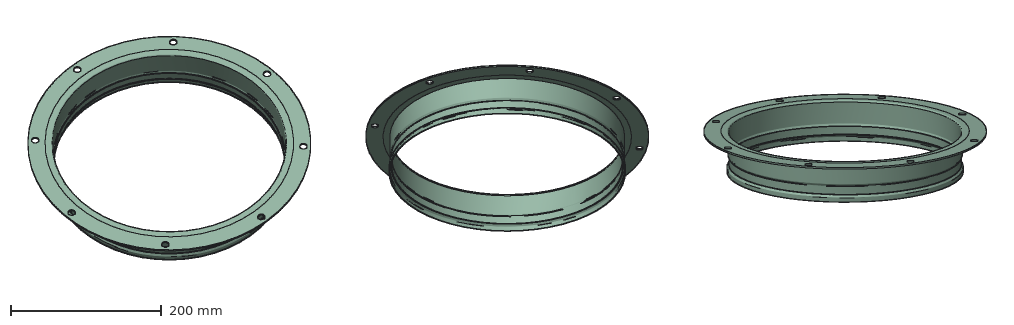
import cadquery as cq
import math

flange_radius = 187.5
flange_thickness = 2.2
total_height = 56.0
hole_count = 8
hole_circle_radius = 177.8
hole_diameter = 9.8

sheet_thickness = 1.3
lip_radius = 164.5
wall_radius = 155.5
waist_radius = 154.0
foot_radius = 156.8

wall_bottom = 24.0
waist_top = 21.0
waist_bottom = 9.8
foot_top = 6.5

lip_bend_radius = 2.2
step_bend_radius = 1.0

flange_bottom = total_height - flange_thickness


def make_flange():
    """Flat ring that surrounds the sleeve lip, with a circle of bolt holes."""
    ring = (
        cq.Workplane("XY")
        .workplane(offset=flange_bottom)
        .circle(flange_radius)
        .circle(lip_radius)
        .extrude(flange_thickness)
    )
    holes = (
        cq.Workplane("XY")
        .workplane(offset=flange_bottom)
        .polarArray(hole_circle_radius, 0, 360, hole_count)
        .circle(hole_diameter / 2)
        .extrude(flange_thickness)
    )
    return ring.cut(holes)


def make_sleeve():
    """Revolved sheet with a lip on top, a narrower waist and a wider foot."""
    wall_inside = wall_radius - sheet_thickness
    waist_inside = waist_radius - sheet_thickness
    foot_inside = foot_radius - sheet_thickness

    upper_angle = math.atan2(wall_radius - waist_radius, wall_bottom - waist_top)
    lower_angle = math.atan2(foot_radius - waist_radius, waist_bottom - foot_top)
    upper_shift = sheet_thickness * math.tan(upper_angle / 2)
    lower_shift = sheet_thickness * math.tan(lower_angle / 2)

    outside = [
        (foot_radius, 0),
        (foot_radius, foot_top),
        (waist_radius, waist_bottom),
        (waist_radius, waist_top),
        (wall_radius, wall_bottom),
        (wall_radius, flange_bottom),
        (lip_radius, flange_bottom),
        (lip_radius, total_height),
    ]
    inside = [
        (wall_inside, wall_bottom + upper_shift),
        (waist_inside, waist_top + upper_shift),
        (waist_inside, waist_bottom - lower_shift),
        (foot_inside, foot_top - lower_shift),
        (foot_inside, 0),
    ]
    sleeve = (
        cq.Workplane("XZ")
        .polyline(outside)
        .lineTo(wall_inside + lip_bend_radius, total_height)
        .radiusArc((wall_inside, total_height - lip_bend_radius), -lip_bend_radius)
        .polyline(inside, includeCurrent=True)
        .close()
        .revolve(360, (0, 0, 0), (0, 1, 0))
    )

    bends = cq.selectors.BoxSelector(
        (-flange_radius, -flange_radius, foot_top / 2),
        (flange_radius, flange_radius, flange_bottom - lip_bend_radius),
    )
    circles = sleeve.edges("%CIRCLE").edges(bends)
    return circles.fillet(step_bend_radius)


flange = make_flange()
sleeve = make_sleeve()

result = cq.Compound.makeCompound([flange.val(), sleeve.val()])